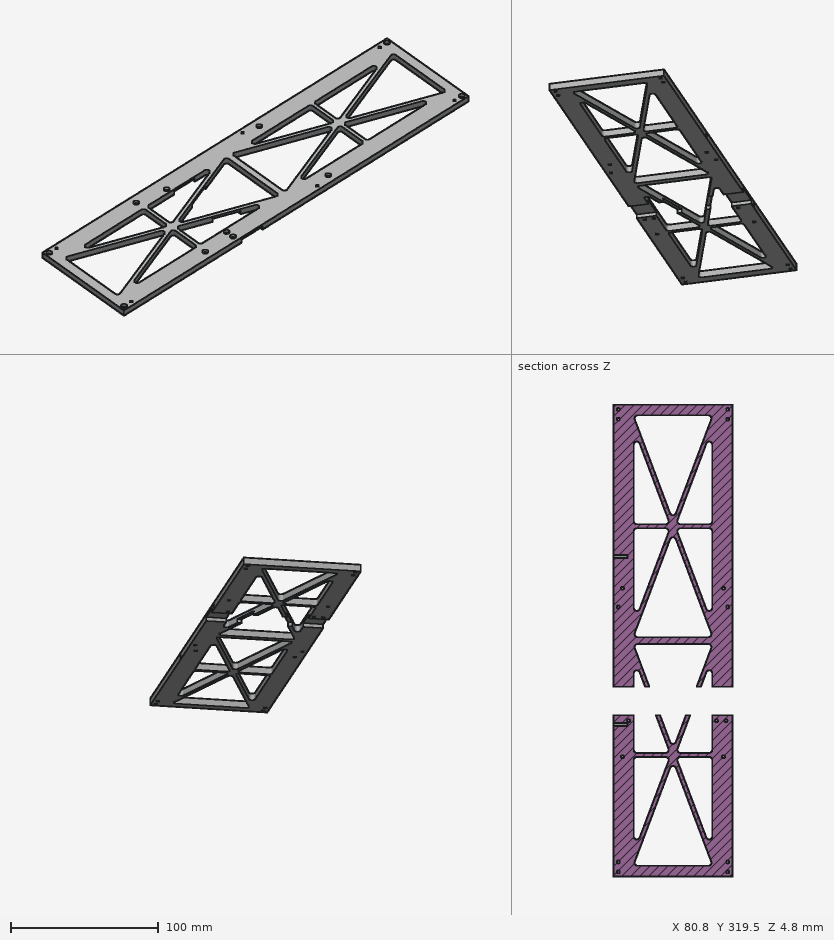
import cadquery as cq
import math

width = 80.8
length = 319.5
thickness = 4.8

end_rail = 7.5
centre_bar = 4.8
web = 3.0
triangle_half_base = 26.8
side_window_x = 26.5
corner_radius = 2.0

bay_inner_y = centre_bar / 2
bay_outer_y = length / 2 - end_rail
bay_centre_y = (bay_inner_y + bay_outer_y) / 2
bay_half_length = (bay_outer_y - bay_inner_y) / 2

web_end_x = triangle_half_base + web / 2
web_slope = bay_half_length / web_end_x
web_half_along_y = web / 2 * math.hypot(1, web_slope)

channel_start_y = -50.5
channel_end_y = -31.3
channel_depth = 2.7

hole_diameter = 2.0
edge_hole_x = 37.0
pin_end_y = length / 2 - 10.0
pin_middle_y = 22.7

head_diameter = 4.0
head_angle = 90
corner_screw_y = length / 2 - 3.2
mount_screw_x = 34.2
mount_screw_ys = (35.5, -78.5)
bracket_screw_xs = (-30.0, 29.5, 35.8)
bracket_screw_y = -54.3

side_hole_y = 57.0
side_hole_depth = 9.5


def window(points):
    """Through-cutter over a polygon, with rounded upright corners."""
    prism = cq.Workplane("XY").polyline(points).close().extrude(thickness)
    return prism.edges("|Z").fillet(corner_radius)


def cut_bay(plate, centre_y):
    """Cut two end triangles and four side triangles, leaving the webs and the cross bar."""
    bar_offset = web / 2
    base_offset = bay_half_length
    apex_offset = base_offset - triangle_half_base * web_slope
    window_inner_x = (bar_offset + web_half_along_y) / web_slope
    window_tip_offset = side_window_x * web_slope - web_half_along_y
    for end in (-1, 1):
        base_y = centre_y + end * base_offset
        bar_y = centre_y + end * bar_offset
        triangle = [
            (-triangle_half_base, base_y),
            (triangle_half_base, base_y),
            (0, centre_y + end * apex_offset),
        ]
        plate = plate.cut(window(triangle))
        for side in (-1, 1):
            side_triangle = [
                (side * window_inner_x, bar_y),
                (side * side_window_x, bar_y),
                (side * side_window_x, centre_y + end * window_tip_offset),
            ]
            plate = plate.cut(window(side_triangle))
    return plate


result = cq.Workplane("XY").box(width, length, thickness, centered=(True, True, False))
for bay_y in (-bay_centre_y, bay_centre_y):
    result = cut_bay(result, bay_y)

channel = (
    cq.Workplane("XY", origin=(0, channel_start_y, 0))
    .box(width, channel_end_y - channel_start_y, channel_depth, centered=(True, False, False))
)
result = result.cut(channel)

pin_points = [(side * edge_hole_x, y) for side in (-1, 1) for y in (-pin_end_y, pin_middle_y, pin_end_y)]
pins = cq.Workplane("XY").pushPoints(pin_points).circle(hole_diameter / 2).extrude(thickness)
result = result.cut(pins)

screw_points = [(side * edge_hole_x, end * corner_screw_y) for side in (-1, 1) for end in (-1, 1)]
screw_points += [(side * mount_screw_x, y) for side in (-1, 1) for y in mount_screw_ys]
screw_points += [(x, bracket_screw_y) for x in bracket_screw_xs]
result = (
    result.faces(">Z")
    .workplane(origin=(0, 0, thickness))
    .pushPoints(screw_points)
    .cskHole(hole_diameter, head_diameter, head_angle)
)

for y in (-side_hole_y, side_hole_y):
    side_hole = (
        cq.Workplane("YZ", origin=(-width / 2, y, thickness / 2))
        .circle(hole_diameter / 2)
        .extrude(side_hole_depth)
    )
    result = result.cut(side_hole)